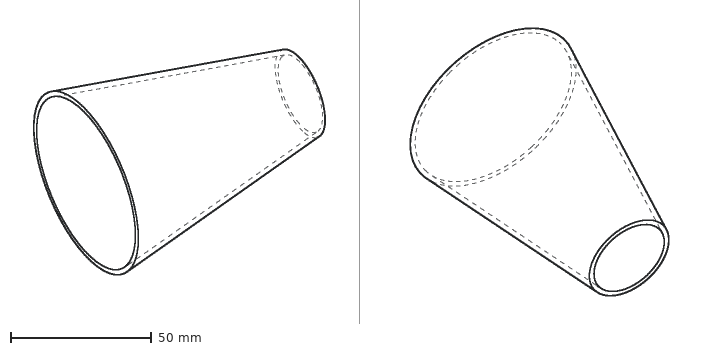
import cadquery as cq

length = 90.0
wide_diameter = 70.0
narrow_diameter = 33.7
wall = 2.0

wide_radius = wide_diameter / 2
narrow_radius = narrow_diameter / 2

wall_section = (
    cq.Workplane("XY")
    .moveTo(wide_radius - wall, 0)
    .lineTo(wide_radius, 0)
    .lineTo(narrow_radius, length)
    .lineTo(narrow_radius - wall, length)
    .close()
)

result = wall_section.revolve(360, (0, 0, 0), (0, 1, 0))